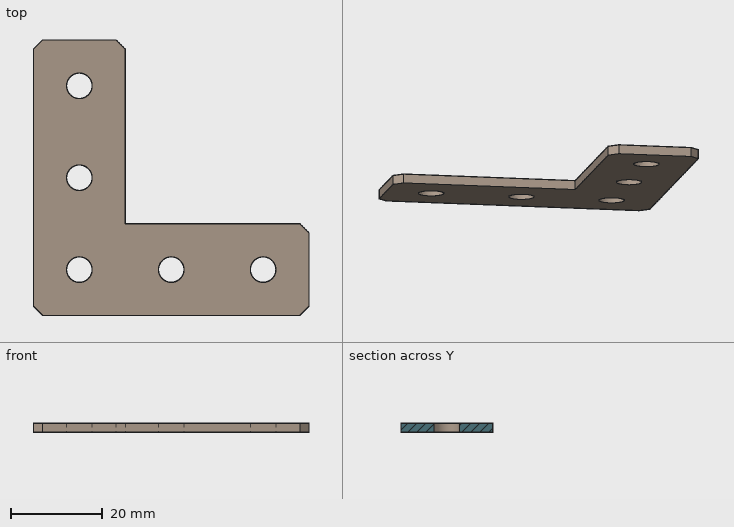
import cadquery as cq

module = 20.0
holes_per_arm = 3
thickness = 2.0
hole_diameter = 5.5
corner_chamfer = 2.0

arm_length = holes_per_arm * module
half_width = module / 2


def make_plate():
    """L-shaped plate with its outer corner at the origin and a sharp inner corner."""
    outline = [
        (0, 0),
        (arm_length, 0),
        (arm_length, module),
        (module, module),
        (module, arm_length),
        (0, arm_length),
    ]
    return cq.Workplane("XY").polyline(outline).close().extrude(thickness)


def chamfer_outer_corners(plate):
    """Chamfer every vertical edge except the inner corner of the L."""
    inner_corner = cq.selectors.NearestToPointSelector((module, module, thickness / 2))
    outer_corners = cq.selectors.StringSyntaxSelector("|Z") - inner_corner
    return plate.edges(outer_corners).chamfer(corner_chamfer)


def drill_holes(plate):
    """Drill a row of through holes along each arm."""
    centers = [(half_width, half_width)]
    for index in range(1, holes_per_arm):
        along = half_width + index * module
        centers.append((along, half_width))
        centers.append((half_width, along))
    drills = cq.Workplane("XY").pushPoints(centers).circle(hole_diameter / 2).extrude(thickness)
    return plate.cut(drills)


result = drill_holes(chamfer_outer_corners(make_plate()))